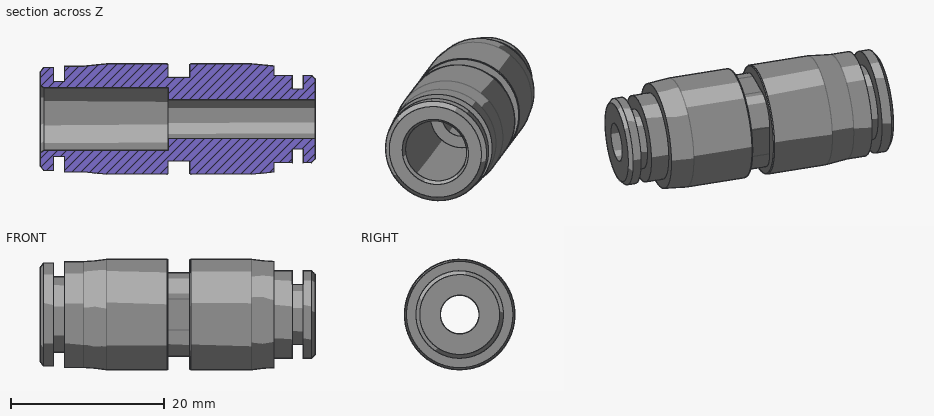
import cadquery as cq


LARGE_CHAMFER_END = 0.45
LARGE_COLLAR_END = 1.75
LARGE_NECK_END = 3.15
LARGE_NOSE_END = 5.65
LARGE_TAPER_END = 8.65
WAIST_START = 16.65
WAIST_END = 19.45
SMALL_TAPER_START = 27.5
SMALL_TAPER_END = 30.45
SMALL_NOSE_END = 32.8
SMALL_NECK_END = 34.2
LENGTH = 35.8

BODY_RADIUS = 7.2
LARGE_NOSE_RADIUS = 6.9
LARGE_NECK_RADIUS = 4.92
LARGE_COLLAR_RADIUS = 6.72
LARGE_CHAMFER_RISE = 0.6
SMALL_TAPER_RADIUS = 6.92
SMALL_NOSE_RADIUS = 5.7
SMALL_NECK_RADIUS = 3.92
SMALL_COLLAR_RADIUS = 5.7
SMALL_CHAMFER = 0.5
SHOULDER_CHAMFER_LENGTH = 0.15
SHOULDER_CHAMFER_RISE = 0.1

WAIST_ACROSS_FLATS = 10.9
WAIST_FLAT_WIDTH = 4.0
WAIST_FILLET = (WAIST_ACROSS_FLATS - WAIST_FLAT_WIDTH) / 2

THROUGH_RADIUS = 2.5
TUBE_RADIUS = 4.05
TUBE_MOUTH_RADIUS = 4.4
TUBE_MOUTH_DEPTH = 0.5
TUBE_DEPTH = WAIST_START


def revolve_about_x(profile):
    """Turn a closed XY half-profile through a full revolution about X."""
    return profile.close().revolve(360, (0, 0, 0), (1, 0, 0))


def make_large_half():
    profile = (
        cq.Workplane("XY")
        .moveTo(0, 0)
        .lineTo(0, LARGE_COLLAR_RADIUS - LARGE_CHAMFER_RISE)
        .lineTo(LARGE_CHAMFER_END, LARGE_COLLAR_RADIUS)
        .lineTo(LARGE_COLLAR_END, LARGE_COLLAR_RADIUS)
        .lineTo(LARGE_COLLAR_END, LARGE_NECK_RADIUS)
        .lineTo(LARGE_NECK_END, LARGE_NECK_RADIUS)
        .lineTo(LARGE_NECK_END, LARGE_NOSE_RADIUS)
        .lineTo(LARGE_NOSE_END, LARGE_NOSE_RADIUS)
        .lineTo(LARGE_TAPER_END, BODY_RADIUS)
        .lineTo(WAIST_START - SHOULDER_CHAMFER_LENGTH, BODY_RADIUS)
        .lineTo(WAIST_START, BODY_RADIUS - SHOULDER_CHAMFER_RISE)
        .lineTo(WAIST_START, 0)
    )
    return revolve_about_x(profile)


def make_small_half():
    profile = (
        cq.Workplane("XY")
        .moveTo(WAIST_END, 0)
        .lineTo(WAIST_END, BODY_RADIUS - SHOULDER_CHAMFER_RISE)
        .lineTo(WAIST_END + SHOULDER_CHAMFER_LENGTH, BODY_RADIUS)
        .lineTo(SMALL_TAPER_START, BODY_RADIUS)
        .lineTo(SMALL_TAPER_END, SMALL_TAPER_RADIUS)
        .lineTo(SMALL_TAPER_END, SMALL_NOSE_RADIUS)
        .lineTo(SMALL_NOSE_END, SMALL_NOSE_RADIUS)
        .lineTo(SMALL_NOSE_END, SMALL_NECK_RADIUS)
        .lineTo(SMALL_NECK_END, SMALL_NECK_RADIUS)
        .lineTo(SMALL_NECK_END, SMALL_COLLAR_RADIUS)
        .lineTo(LENGTH - SMALL_CHAMFER, SMALL_COLLAR_RADIUS)
        .lineTo(LENGTH, SMALL_COLLAR_RADIUS - SMALL_CHAMFER)
        .lineTo(LENGTH, 0)
    )
    return revolve_about_x(profile)


def make_waist():
    """Square bar with rounded corners, joining the two sleeves."""
    return (
        cq.Workplane("YZ", origin=(WAIST_START, 0, 0))
        .rect(WAIST_ACROSS_FLATS, WAIST_ACROSS_FLATS)
        .extrude(WAIST_END - WAIST_START)
        .edges("|X")
        .fillet(WAIST_FILLET)
    )


def make_bore():
    """Through passage, widened from the large end into a stopped tube socket."""
    profile = (
        cq.Workplane("XY")
        .moveTo(0, 0)
        .lineTo(0, TUBE_MOUTH_RADIUS)
        .lineTo(TUBE_MOUTH_DEPTH, TUBE_RADIUS)
        .lineTo(TUBE_DEPTH, TUBE_RADIUS)
        .lineTo(TUBE_DEPTH, THROUGH_RADIUS)
        .lineTo(LENGTH, THROUGH_RADIUS)
        .lineTo(LENGTH, 0)
    )
    return revolve_about_x(profile)


outside = make_large_half().union(make_waist()).union(make_small_half())
result = outside.cut(make_bore())